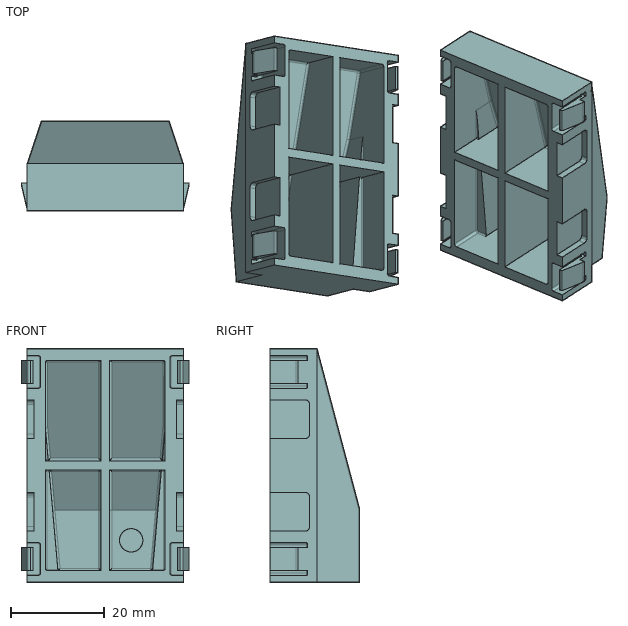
import cadquery as cq
import math

BODY_WIDTH = 33.5
BODY_DEPTH = 10.1
HEIGHT = 50.0
TOTAL_DEPTH = 19.2

WEDGE_BEND_Z = 15.7
WEDGE_BOTTOM_WIDTH = 24.7
WEDGE_EDGE_RADIUS = 0.2

RIM = 2.5
RIB = 1.9
POCKET_OUTER_X = 12.8
LEDGE_DEPTH = 7.5
FLOOR_WALL = 2.2
SIDE_WALL = 2.45
RIM_CORNER_RADIUS = 0.55
LEDGE_RADIUS = 0.3
FLOOR_RADIUS = 0.5

MARK_DIAMETER = 5.0
MARK_X = 5.55
MARK_Z = 9.0
MARK_DEPTH = 0.1

RECESS_INSET = 1.5
RECESS_DEPTH = 8.5
RECESS_HEIGHT = 8.3
RECESS_RADIUS = 1.0
RECESS_PITCH = 19.8

TAB_END_DISTANCE = 5.0
TAB_HEIGHT = 5.0
TAB_INNER_X = 16.0
TAB_ROOT_RADIUS = 0.55
HOOK_DEPTH = 6.0
HOOK_FRONT_X = 16.65
HOOK_TIP_X = 17.95
HOOK_TIP_LENGTH = 0.4
TAB_FRONT_RADIUS = 0.2
SLOT_HEIGHT = 7.0
SLOT_INSET = 2.9
SLOT_DEPTH = 8.0
SLOT_CORNER_RADIUS = 0.5
SLOT_FLOOR_RADIUS = 0.2

BACKWARD_LIMIT = 0.5

HALF_WIDTH = BODY_WIDTH / 2
MID_Z = HEIGHT / 2
SLOPE_ANGLE = math.atan2(TOTAL_DEPTH - BODY_DEPTH, HEIGHT - WEDGE_BEND_Z)
SIDE_SLOPE = (HALF_WIDTH - WEDGE_BOTTOM_WIDTH / 2) / HEIGHT
FLOOR_Y = TOTAL_DEPTH - FLOOR_WALL
FLOOR_BEND_Z = WEDGE_BEND_Z - FLOOR_WALL * math.tan(SLOPE_ANGLE / 2)
FLOOR_TOP_Y = FLOOR_Y - (HEIGHT - FLOOR_BEND_Z) * math.tan(SLOPE_ANGLE)


def box(x0, x1, y0, y1, z0, z1):
    return cq.Workplane("XY").box(x1 - x0, y1 - y0, z1 - z0, centered=False).translate((x0, y0, z0))


def extrude_back(points, depth):
    """Extrude an outline of (x, z) points from the front plane towards +y."""
    return cq.Workplane("XZ").polyline(points).close().extrude(-depth)


def extrude_across(points, half_length):
    """Extrude an outline of (y, z) points to both sides of x = 0."""
    return cq.Workplane("YZ").polyline(points).close().extrude(half_length, both=True)


def wedge():
    """Tapered block behind the body: its front outline cut to the sloping side profile."""
    outline = extrude_back(
        [
            (-HALF_WIDTH, HEIGHT),
            (HALF_WIDTH, HEIGHT),
            (WEDGE_BOTTOM_WIDTH / 2, 0),
            (-WEDGE_BOTTOM_WIDTH / 2, 0),
        ],
        TOTAL_DEPTH,
    )
    profile = extrude_across(
        [(0, 0), (TOTAL_DEPTH, 0), (TOTAL_DEPTH, WEDGE_BEND_Z), (BODY_DEPTH, HEIGHT), (0, HEIGHT)],
        BODY_WIDTH,
    )
    block = outline.intersect(profile)
    behind_body = cq.selectors.BoxSelector((-BODY_WIDTH, BODY_DEPTH, 0), (BODY_WIDTH, 2 * TOTAL_DEPTH, HEIGHT))
    return block.edges("not(|X)").edges(behind_body).fillet(WEDGE_EDGE_RADIUS)


def wedge_inner_x(z):
    """Inside face of the narrowing wedge wall at height z."""
    return WEDGE_BOTTOM_WIDTH / 2 + SIDE_SLOPE * z - SIDE_WALL


def pocket_tray(z_bottom, z_top, rim_corner):
    """Front part of a right-hand pocket, down to the ledge, rounded at the outer corner by the rim."""
    tray = box(RIB / 2, POCKET_OUTER_X, 0, LEDGE_DEPTH, z_bottom, z_top)
    tray = tray.edges("|Y and >X").edges(rim_corner).fillet(RIM_CORNER_RADIUS)
    return tray.faces(">Y").edges().fillet(LEDGE_RADIUS)


def pocket_well(z_bottom, z_top):
    """Deep part of a right-hand pocket, which follows the slope and the narrowing sides of the wedge."""
    meeting_z = (POCKET_OUTER_X - wedge_inner_x(0)) / SIDE_SLOPE
    outline = [(RIB / 2, z_top), (RIB / 2, z_bottom), (wedge_inner_x(z_bottom), z_bottom)]
    if meeting_z < z_top:
        outline += [(POCKET_OUTER_X, meeting_z), (POCKET_OUTER_X, z_top)]
    else:
        outline += [(wedge_inner_x(z_top), z_top)]
    floor = [(0, 0), (FLOOR_Y, 0), (FLOOR_Y, FLOOR_BEND_Z), (FLOOR_TOP_Y, HEIGHT), (0, HEIGHT)]
    well = extrude_back(outline, TOTAL_DEPTH).intersect(extrude_across(floor, BODY_WIDTH))
    if meeting_z < z_top:
        well = well.edges("|Y and >X").edges(">Z").fillet(RIM_CORNER_RADIUS)
    floor_faces = well.faces().filter(lambda face: face.normalAt().y > BACKWARD_LIMIT)
    return floor_faces.edges().fillet(FLOOR_RADIUS)


def side_recess(z):
    """Cutter for a right-hand side recess centred at height z."""
    z_bottom = z - RECESS_HEIGHT / 2
    recess = box(HALF_WIDTH - RECESS_INSET, BODY_WIDTH, 0, RECESS_DEPTH, z_bottom, z_bottom + RECESS_HEIGHT)
    return recess.edges("|X and >Y").fillet(RECESS_RADIUS)


def slot(z):
    """Cutter for a right-hand tab slot centred at height z."""
    z_bottom = z - SLOT_HEIGHT / 2
    cutter = box(HALF_WIDTH - SLOT_INSET, BODY_WIDTH, 0, SLOT_DEPTH, z_bottom, z_bottom + SLOT_HEIGHT)
    cutter = cutter.edges("|Y and <X").fillet(SLOT_CORNER_RADIUS)
    return cutter.faces(">Y").edges().fillet(SLOT_FLOOR_RADIUS)


def tab(z):
    """Right-hand snap tab: a beam flush with the side of the body, with a hook at its front."""
    root_y = SLOT_DEPTH + SLOT_FLOOR_RADIUS
    profile = (
        cq.Workplane("XY")
        .moveTo(TAB_INNER_X - TAB_ROOT_RADIUS, root_y)
        .lineTo(TAB_INNER_X - TAB_ROOT_RADIUS, SLOT_DEPTH)
        .radiusArc((TAB_INNER_X, SLOT_DEPTH - TAB_ROOT_RADIUS), -TAB_ROOT_RADIUS)
        .lineTo(TAB_INNER_X, 0)
        .lineTo(HOOK_FRONT_X, 0)
        .lineTo(HOOK_TIP_X, HOOK_DEPTH - HOOK_TIP_LENGTH)
        .lineTo(HOOK_TIP_X, HOOK_DEPTH)
        .lineTo(HALF_WIDTH, HOOK_DEPTH)
        .lineTo(HALF_WIDTH, root_y)
        .close()
    )
    beam = profile.extrude(TAB_HEIGHT).translate((0, 0, z - TAB_HEIGHT / 2))
    return beam.faces("<Y").edges(">X").fillet(TAB_FRONT_RADIUS)


def both_sides(feature):
    """A right-hand feature together with its mirror image on the left."""
    return feature.union(feature.mirror("YZ"))


def floor_mark():
    """Cutter through the open pocket that sinks the round mark into the floor."""
    cylinder = cq.Workplane("XZ").center(MARK_X, MARK_Z).circle(MARK_DIAMETER / 2)
    return cylinder.extrude(-FLOOR_Y - MARK_DEPTH)


result = box(-HALF_WIDTH, HALF_WIDTH, 0, BODY_DEPTH, 0, HEIGHT).union(wedge())

lower_pocket = (RIM, MID_Z - RIB / 2)
upper_pocket = (MID_Z + RIB / 2, HEIGHT - RIM)
for (pocket_bottom, pocket_top), rim_corner in [(lower_pocket, "<Z"), (upper_pocket, ">Z")]:
    tray = pocket_tray(pocket_bottom, pocket_top, rim_corner)
    well = pocket_well(pocket_bottom, pocket_top)
    result = result.cut(both_sides(tray)).cut(both_sides(well))

for recess_z in [MID_Z - RECESS_PITCH / 2, MID_Z + RECESS_PITCH / 2]:
    result = result.cut(both_sides(side_recess(recess_z)))

for tab_z in [TAB_END_DISTANCE, HEIGHT - TAB_END_DISTANCE]:
    result = result.cut(both_sides(slot(tab_z)))
    result = result.union(both_sides(tab(tab_z)))

result = result.cut(floor_mark())